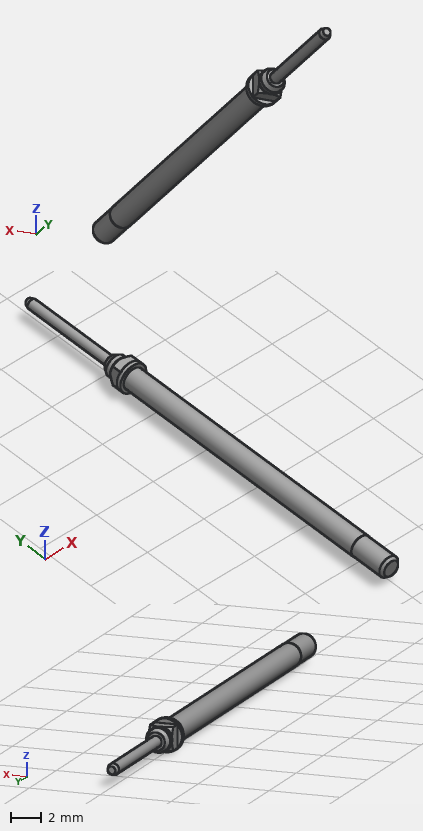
import cadquery as cq
import math

total_length = 35.8

wire_diameter = 0.8
wire_tip_diameter = 0.55
wire_tip_length = 0.35
wire_length = 8.2

collar_diameter = 1.7
collar_nose_diameter = 1.25
collar_nose_length = 0.4
collar_length = 0.8

square_side = 1.64
square_length = 1.0
corner_bevel_length = 0.25

flange_diameter = 2.3
flange_length = 0.35

barrel_diameter = 1.7
plunger_diameter = 1.66
plunger_length = 3.0
plunger_tip_diameter = 1.24
plunger_tip_length = 0.25

wire_end = total_length / 2
collar_end = wire_end - wire_length
square_end = collar_end - collar_length
flange_end = square_end - square_length
barrel_end = flange_end - flange_length
plunger_tip = -total_length / 2
plunger_end = plunger_tip + plunger_length


def cone(y_start, start_diameter, y_end, end_diameter):
    """Round section on the Y axis, straight or tapered, from y_start up to y_end."""
    outline = [
        (0, y_start),
        (start_diameter / 2, y_start),
        (end_diameter / 2, y_end),
        (0, y_end),
    ]
    return cq.Workplane("XY").polyline(outline).close().revolve(360, (0, 0, 0), (0, 1, 0))


def rod(y_start, y_end, diameter):
    """Cylinder on the Y axis from y_start up to y_end."""
    return cone(y_start, diameter, y_end, diameter)


def make_wire():
    tip_start = wire_end - wire_tip_length
    shank = rod(collar_end, tip_start, wire_diameter)
    return shank.union(cone(tip_start, wire_diameter, wire_end, wire_tip_diameter))


def make_collar():
    nose_start = collar_end - collar_nose_length
    body = rod(square_end, nose_start, collar_diameter)
    return body.union(cone(nose_start, collar_diameter, collar_end, collar_nose_diameter))


def make_square():
    """Square prism whose four corners fall away on a cone at the collar end."""
    corner_diameter = square_side * math.sqrt(2)
    bevel_start = square_end - corner_bevel_length
    prism = cq.Workplane("XY").box(square_side, square_length, square_side)
    prism = prism.translate((0, (flange_end + square_end) / 2, 0))
    envelope = rod(flange_end, bevel_start, corner_diameter)
    envelope = envelope.union(cone(bevel_start, corner_diameter, square_end, square_side))
    return prism.intersect(envelope)


def make_plunger():
    tip_start = plunger_tip + plunger_tip_length
    shank = rod(tip_start, plunger_end, plunger_diameter)
    return shank.union(cone(plunger_tip, plunger_tip_diameter, tip_start, plunger_diameter))


flange = rod(barrel_end, flange_end, flange_diameter)
barrel = rod(plunger_end, barrel_end, barrel_diameter)

result = make_wire()
for section in (make_collar(), make_square(), flange, barrel, make_plunger()):
    result = result.union(section)